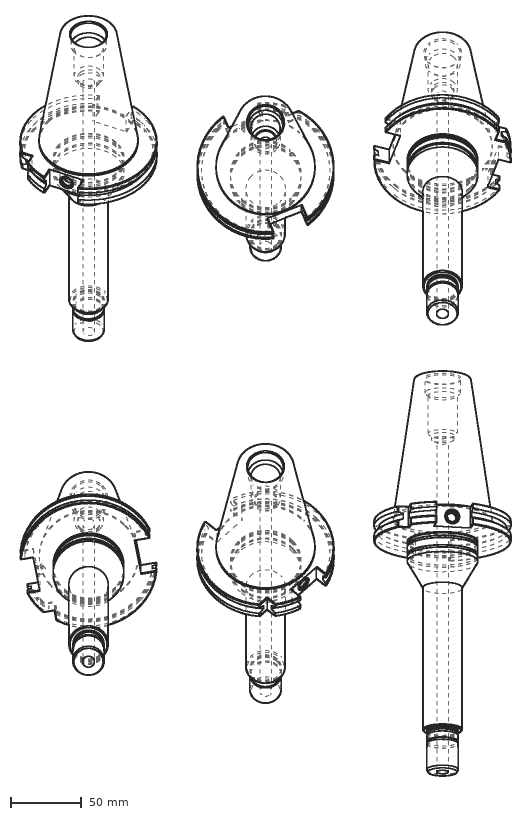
import cadquery as cq
import math

total_length = 291.0

nose_dia = 22.5
nose_tip_dia = 20.7
nose_chamfer_length = 1.7
nose_top = 19.2
guide_dia = 22.0
guide_step_length = 1.0
neck_bottom = 30.5
neck_top = 136.2
neck_dia = 28.0
neck_chamfer = 1.0

collar_dia = 50.5
cone_half_angle = 30.0
collar_bottom = neck_top + (collar_dia - neck_dia) / 2 / math.tan(math.radians(cone_half_angle))

flange_dia = 97.2
flange_bottom = 170.3
flange_top = 186.0
flange_middle = (flange_bottom + flange_top) / 2
edge_chamfer = 0.5
v_groove_dia = 91.0
v_groove_z = 178.5
v_groove_floor = 3.5
v_groove_slope = 30.0

gauge_dia = 70.0
gauge_z = 189.5
taper_ratio = 7 / 24
taper_bottom = 187.8
taper_large_dia = gauge_dia + taper_ratio * (gauge_z - taper_bottom)
taper_small_dia = gauge_dia - taper_ratio * (total_length - gauge_z)
taper_end_fillet = 2.0

ring_depth = 0.15
ring_width = 1.7
undercut_width = 1.0
guide_ring_bottoms = (21.0, 27.0)
collar_ring_bottoms = (159.0, 166.0)

drill_tip_angle = 118.0

bore_chamfer_dia = 26.8
bore_dia = 25.0
bore_depth = 10.5
thread_dia = 20.7
thread_depth = 40.8
runout_dia = 16.0
runout_length = 3.0
coolant_dia = 8.5

slot_width = 25.5
front_slot_floor = 37.5
rear_slot_floor = 35.5
notch_offset = 30.3
dimple_rim_dia = 10.5
dimple_rim_depth = 0.5
dimple_mouth_dia = 8.5
dimple_dia = 7.0
dimple_depth = 4.5


def revolve_profile(points):
    """Turn an outline of (radius, z) points about the Z axis."""
    return cq.Workplane("XZ").polyline(points).close().revolve(360, (0, 0, 0), (0, 1, 0))


def turned_ring(surface_dia, bottom, width):
    """Shallow ring with 45 degree walls, to be cut from a cylindrical surface."""
    surface = surface_dia / 2
    floor = surface - ring_depth
    top = bottom + width
    return revolve_profile([
        (surface, bottom),
        (floor, bottom + ring_depth),
        (floor, top - ring_depth),
        (surface, top),
    ])


def drill_cone_length(wide_dia, narrow_dia):
    """Axial length of a drill-point cone between two diameters."""
    return (wide_dia - narrow_dia) / 2 / math.tan(math.radians(drill_tip_angle / 2))


def turned_body():
    """Nose, neck, cone, collar and taper in one revolved outline."""
    body = revolve_profile([
        (0, 0),
        (nose_tip_dia / 2, 0),
        (nose_dia / 2, nose_chamfer_length),
        (nose_dia / 2, nose_top - guide_step_length),
        (guide_dia / 2, nose_top),
        (guide_dia / 2, neck_bottom),
        (neck_dia / 2 - neck_chamfer, neck_bottom),
        (neck_dia / 2, neck_bottom + neck_chamfer),
        (neck_dia / 2, neck_top),
        (collar_dia / 2, collar_bottom),
        (collar_dia / 2, flange_top),
        (taper_large_dia / 2, flange_top),
        (taper_large_dia / 2, taper_bottom),
        (taper_small_dia / 2, total_length),
        (0, total_length),
    ])
    return body.faces(">Z").edges().fillet(taper_end_fillet)


def v_groove():
    """Gripper groove round the flange."""
    floor = v_groove_dia / 2
    rim = flange_dia / 2
    half_floor = v_groove_floor / 2
    half_mouth = half_floor + (rim - floor) * math.tan(math.radians(v_groove_slope))
    return revolve_profile([
        (floor, v_groove_z - half_floor),
        (rim, v_groove_z - half_mouth),
        (rim, v_groove_z + half_mouth),
        (floor, v_groove_z + half_floor),
    ])


def stepped_bore():
    """Counterbore, thread bore and coolant hole, joined by conical steps."""
    bore_floor = total_length - bore_depth
    thread_floor = total_length - thread_depth
    entry = (bore_chamfer_dia - bore_dia) / 2
    thread_lead = (bore_dia - thread_dia) / 2
    runout_top = thread_floor - drill_cone_length(thread_dia, runout_dia)
    runout_floor = runout_top - runout_length
    coolant_top = runout_floor - drill_cone_length(runout_dia, coolant_dia)
    return revolve_profile([
        (0, 0),
        (coolant_dia / 2, 0),
        (coolant_dia / 2, coolant_top),
        (runout_dia / 2, runout_floor),
        (runout_dia / 2, runout_top),
        (thread_dia / 2, thread_floor),
        (thread_dia / 2, bore_floor - thread_lead),
        (bore_dia / 2, bore_floor),
        (bore_dia / 2, total_length - entry),
        (bore_chamfer_dia / 2, total_length),
        (0, total_length),
    ])


def flange_block(x_min, x_max, y_min, y_max):
    """Block through the full thickness of the flange."""
    size = (x_max - x_min, y_max - y_min, flange_top - flange_bottom)
    return cq.Workplane("XY").box(*size, centered=False).translate((x_min, y_min, flange_bottom))


def flange():
    """Slotted and notched disc with broken edges; the floors of the slots stay sharp."""
    radius = flange_dia / 2
    half_slot = slot_width / 2
    disc = cq.Workplane("XY").circle(radius).extrude(flange_top - flange_bottom)
    disc = disc.translate((0, 0, flange_bottom))
    disc = disc.cut(flange_block(-half_slot, half_slot, -radius, -front_slot_floor))
    disc = disc.cut(flange_block(-half_slot, half_slot, rear_slot_floor, radius))
    disc = disc.cut(flange_block(-radius, -notch_offset, -radius, -notch_offset))

    def is_outer_edge(edge):
        """True except for slot floor edges and the upright inner corners of the cuts."""
        middle = edge.Center()
        if edge.geomType() != "LINE":
            return True
        upright = edge.startPoint().z != edge.endPoint().z
        if upright:
            return math.hypot(middle.x, middle.y) > radius - edge_chamfer
        return abs(middle.x) > half_slot - edge_chamfer

    return disc.edges().filter(is_outer_edge).chamfer(edge_chamfer)


def dimple():
    """Stepped blind hole with a drill point, sunk into the floor of the front slot."""
    tip = drill_cone_length(dimple_dia, 0)
    mouth_chamfer = (dimple_mouth_dia - dimple_dia) / 2
    hole = revolve_profile([
        (0, 0),
        (dimple_rim_dia / 2, 0),
        (dimple_rim_dia / 2, -dimple_rim_depth),
        (dimple_mouth_dia / 2, -dimple_rim_depth),
        (dimple_dia / 2, -dimple_rim_depth - mouth_chamfer),
        (dimple_dia / 2, -dimple_depth),
        (0, -dimple_depth - tip),
    ])
    return hole.rotate((0, 0, 0), (1, 0, 0), 90).translate((0, -front_slot_floor, flange_middle))


result = turned_body().union(flange()).cut(v_groove()).cut(stepped_bore())

for ring_bottom in guide_ring_bottoms:
    result = result.cut(turned_ring(guide_dia, ring_bottom, ring_width))
for ring_bottom in collar_ring_bottoms:
    result = result.cut(turned_ring(collar_dia, ring_bottom, ring_width))
result = result.cut(turned_ring(guide_dia, neck_bottom - undercut_width, undercut_width))
result = result.cut(turned_ring(collar_dia, flange_bottom - undercut_width, undercut_width))
result = result.cut(turned_ring(taper_large_dia, flange_top, taper_bottom - flange_top))
result = result.cut(dimple())